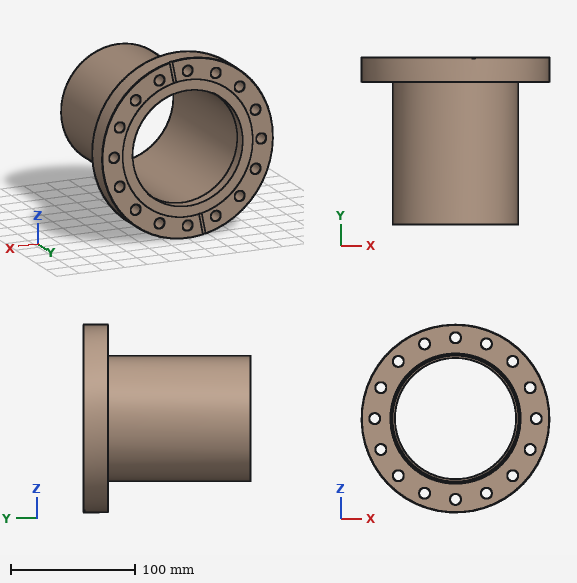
import cadquery as cq
tube_outer_diameter = 101.4
tube_wall = 2.0
assembly_length = 134.9
tube_outer_radius = tube_outer_diameter / 2
tube_bore_radius = tube_outer_radius - tube_wall

ring_diameter = 151.6
ring_thickness = 20.0
ring_opening_diameter = 104.6
ring_edge_chamfer = 0.5
ring_opening_chamfer = 0.3
ring_radius = ring_diameter / 2
ring_opening_radius = ring_opening_diameter / 2
tube_end_y = ring_thickness - assembly_length

bolt_count = 16
bolt_circle_diameter = 130.2
bolt_hole_diameter = 8.5
bolt_hole_chamfer = 0.3
bolt_pitch_angle = 360 / bolt_count

hub_flange_diameter = 115.2
hub_flange_thickness = 10.6
hub_lip_chamfer = 0.5
hub_lip_y = 4.5
hub_flange_radius = hub_flange_diameter / 2
hub_flange_y = ring_thickness - hub_flange_thickness

groove_radius = 1.2
groove_tilt = bolt_pitch_angle / 2


def revolved(profile):
    """Solid of revolution about the Y axis from (y, radius) points."""
    return cq.Workplane("YZ").polyline(profile).close().revolve(360, (0, 0, 0), (1, 0, 0))


def make_tube():
    return revolved([
        (tube_end_y, tube_bore_radius),
        (tube_end_y, tube_outer_radius),
        (hub_flange_y, tube_outer_radius),
        (hub_flange_y, tube_bore_radius),
    ])


def make_bolt_hole():
    """Cutter for one chamfered bolt hole, at the top of the bolt circle."""
    hole_radius = bolt_hole_diameter / 2
    mouth_radius = hole_radius + bolt_hole_chamfer
    cutter = revolved([
        (0, 0),
        (0, mouth_radius),
        (bolt_hole_chamfer, hole_radius),
        (ring_thickness - bolt_hole_chamfer, hole_radius),
        (ring_thickness, mouth_radius),
        (ring_thickness, 0),
    ])
    return cutter.translate((0, 0, bolt_circle_diameter / 2))


def make_leak_grooves():
    """Cutter for both round-bottomed grooves: one rod across the full width of the ring."""
    rod = cq.Workplane("YX").center(ring_thickness, 0).circle(groove_radius).extrude(ring_radius, both=True)
    return rod.rotate((0, 0, 0), (0, 1, 0), groove_tilt)


def make_ring():
    chamfer_radius = ring_radius - ring_edge_chamfer
    ring = revolved([
        (ring_opening_chamfer, ring_opening_radius),
        (0, ring_opening_radius + ring_opening_chamfer),
        (0, chamfer_radius),
        (ring_edge_chamfer, ring_radius),
        (ring_thickness - ring_edge_chamfer, ring_radius),
        (ring_thickness, chamfer_radius),
        (ring_thickness, hub_flange_radius),
        (hub_flange_y, hub_flange_radius),
        (hub_flange_y, ring_opening_radius),
    ])
    for i in range(bolt_count):
        ring = ring.cut(make_bolt_hole().rotate((0, 0, 0), (0, 1, 0), i * bolt_pitch_angle))
    return ring.cut(make_leak_grooves())


def make_hub():
    return revolved([
        (hub_lip_y + hub_lip_chamfer, tube_outer_radius),
        (hub_lip_y, tube_outer_radius + hub_lip_chamfer),
        (hub_lip_y, ring_opening_radius),
        (hub_flange_y, ring_opening_radius),
        (hub_flange_y, hub_flange_radius),
        (ring_thickness, hub_flange_radius),
        (ring_thickness, tube_bore_radius),
        (hub_flange_y, tube_bore_radius),
        (hub_flange_y, tube_outer_radius),
    ])


tube = make_tube()
ring = make_ring()
hub = make_hub()
result = cq.Compound.makeCompound([tube.val(), ring.val(), hub.val()])